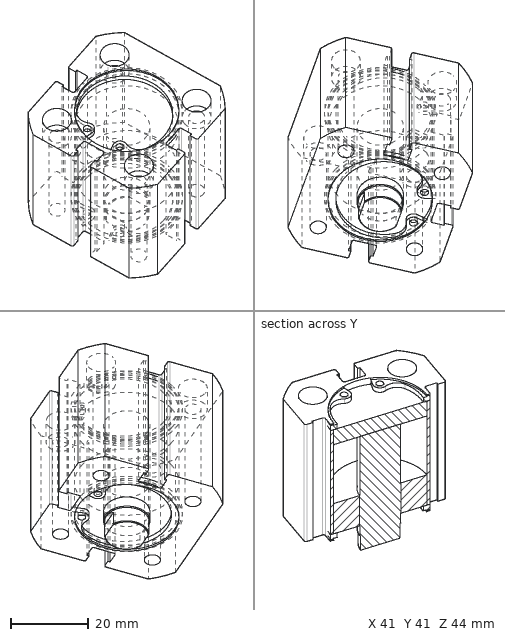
import cadquery as cq
import math


width = 41.0
rod_protrusion = 6.0
height = 44 - rod_protrusion
corner_radius = 25.5
bore_radius = 13.5

slot_depth = 6.0
slot_mouth_width = 5.32
slot_inner_width = 6.6
slot_lip_thickness = 2.38
slot_edge_radius = 0.55
slot_angles = [0, 90, -90]

mount_pitch = 25.95
mount_hole_diameter = 4.2
counterbore_diameter = 7.5
counterbore_depth = 7.05

ring_recess = 0.55
ring_thickness = 1.45
ring_outer_radius = 14.45
ring_inner_radius = 12.5
ring_inner_y = ring_inner_radius - bore_radius
lug_x = 5.2
lug_y = -10.45
lug_radius = 1.9
lug_hole_diameter = 2.02
lug_blend_radius = 3.8
lug_end_angle = math.radians(14)

head_cover_thickness = 5.0
rod_cover_thickness = 10.0
cover_inset = ring_recess + ring_thickness
head_cover_bottom = height - cover_inset - head_cover_thickness

rod_diameter = 12.0
rod_end_diameter = 11.55
rod_shoulder_z = -1.28
rod_shoulder_chamfer = (rod_diameter - rod_end_diameter) / 2
rod_tip_chamfer = 0.2
flat_spacing = 10.05
flat_top_z = -2.05


def toward(start, end, distance):
    """Point at a distance from start, in the direction of end (away from it if negative)."""
    share = distance / math.dist(start, end)
    return (start[0] + share * (end[0] - start[0]), start[1] + share * (end[1] - start[1]))


def mirrored(point):
    return (-point[0], point[1])


def blend_center():
    """Center of the arc that touches the ring's inner circle and the outside of the +X lug."""
    inner = (0, ring_inner_y)
    lug = (lug_x, lug_y)
    to_inner = ring_inner_radius - lug_blend_radius
    to_lug = lug_radius + lug_blend_radius
    span = math.dist(inner, lug)
    along = (span**2 + to_inner**2 - to_lug**2) / (2 * span)
    across = math.sqrt(to_inner**2 - along**2)
    foot = toward(inner, lug, along)
    unit = ((lug[0] - inner[0]) / span, (lug[1] - inner[1]) / span)
    return (foot[0] - across * unit[1], foot[1] + across * unit[0])


def ring_opening():
    """Space inside the ring: the inner circle, both lug outlines and the gap between the ends."""
    inner = (0, ring_inner_y)
    lug = (lug_x, lug_y)
    blend = blend_center()
    circle_end = toward(blend, inner, -lug_blend_radius)
    lug_start = toward(blend, lug, lug_blend_radius)
    blend_middle = toward(
        blend,
        ((circle_end[0] + lug_start[0]) / 2, (circle_end[1] + lug_start[1]) / 2),
        lug_blend_radius,
    )
    lug_end = (
        lug_x - lug_radius * math.cos(lug_end_angle),
        lug_y - lug_radius * math.sin(lug_end_angle),
    )
    lug_middle = (
        lug_x - lug_radius * math.sin(lug_end_angle),
        lug_y + lug_radius * math.cos(lug_end_angle),
    )
    gap_y = -ring_outer_radius
    gap_end = (lug_end[0] + (lug_end[1] - gap_y) * math.tan(lug_end_angle), gap_y)
    return (
        cq.Workplane("XY")
        .moveTo(*gap_end)
        .lineTo(*lug_end)
        .threePointArc(lug_middle, lug_start)
        .threePointArc(blend_middle, circle_end)
        .threePointArc((0, ring_inner_y + ring_inner_radius), mirrored(circle_end))
        .threePointArc(mirrored(blend_middle), mirrored(lug_start))
        .threePointArc(mirrored(lug_middle), mirrored(lug_end))
        .lineTo(*mirrored(gap_end))
        .close()
        .extrude(ring_thickness)
    )


def make_retaining_ring(bottom_z):
    lug_holes = (
        cq.Workplane("XY")
        .pushPoints([(-lug_x, lug_y), (lug_x, lug_y)])
        .circle(lug_hole_diameter / 2)
        .extrude(ring_thickness)
    )
    disk = cq.Workplane("XY").circle(ring_outer_radius).extrude(ring_thickness)
    return disk.cut(ring_opening()).cut(lug_holes).translate((0, 0, bottom_z))


def slot_cutter():
    """T-slot on the -Y face, with rounded floor corners and flared, rounded mouth edges."""
    face_y = -width / 2
    lip_y = face_y + slot_lip_thickness
    floor_y = face_y + slot_depth
    half_mouth = slot_mouth_width / 2
    half_inner = slot_inner_width / 2
    half_flare = half_mouth + slot_edge_radius
    edge_offset = slot_edge_radius * (1 - math.sqrt(0.5))
    mouth_end_y = face_y + slot_edge_radius
    channel = (
        cq.Workplane("XY")
        .moveTo(-half_inner, lip_y)
        .lineTo(half_inner, lip_y)
        .lineTo(half_inner, floor_y)
        .lineTo(-half_inner, floor_y)
        .close()
        .extrude(height)
        .edges("|Z and >Y")
        .fillet(slot_edge_radius)
    )
    mouth = (
        cq.Workplane("XY")
        .moveTo(-half_flare, face_y)
        .lineTo(half_flare, face_y)
        .threePointArc((half_mouth + edge_offset, face_y + edge_offset), (half_mouth, mouth_end_y))
        .lineTo(half_mouth, lip_y)
        .lineTo(-half_mouth, lip_y)
        .lineTo(-half_mouth, mouth_end_y)
        .threePointArc((-half_mouth - edge_offset, face_y + edge_offset), (-half_flare, face_y))
        .close()
        .extrude(height)
    )
    return channel.union(mouth)


def make_housing(rings):
    body = cq.Workplane("XY").rect(width, width).extrude(height)
    body = body.intersect(cq.Workplane("XY").circle(corner_radius).extrude(height))
    for angle in slot_angles:
        body = body.cut(slot_cutter().rotate((0, 0, 0), (0, 0, 1), angle))
    body = (
        body.faces(">Z")
        .workplane(origin=(0, 0, height))
        .rect(mount_pitch, mount_pitch, forConstruction=True)
        .vertices()
        .cboreHole(mount_hole_diameter, counterbore_diameter, counterbore_depth)
    )
    body = body.cut(cq.Workplane("XY").circle(bore_radius).extrude(height))
    for ring in rings:
        body = body.cut(ring)
    return body


def make_head_cover():
    return (
        cq.Workplane("XY", origin=(0, 0, head_cover_bottom))
        .circle(bore_radius)
        .extrude(head_cover_thickness)
    )


def make_rod_cover():
    return (
        cq.Workplane("XY", origin=(0, 0, cover_inset))
        .circle(bore_radius)
        .circle(rod_diameter / 2)
        .extrude(rod_cover_thickness)
    )


def flat_cutter():
    """Material outside the -Y wrench flat, closed at the top by a 45 degree run-out."""
    flat_y = -flat_spacing / 2
    outside_y = -rod_diameter / 2
    return (
        cq.Workplane("YZ")
        .moveTo(flat_y, -rod_protrusion)
        .lineTo(flat_y, flat_top_z)
        .lineTo(outside_y, flat_top_z + flat_y - outside_y)
        .lineTo(outside_y, -rod_protrusion)
        .close()
        .extrude(rod_diameter / 2, both=True)
    )


def make_rod():
    shank = (
        cq.Workplane("XY", origin=(0, 0, rod_shoulder_z))
        .circle(rod_diameter / 2)
        .extrude(head_cover_bottom - rod_shoulder_z)
        .faces("<Z")
        .chamfer(rod_shoulder_chamfer)
    )
    end = (
        cq.Workplane("XY", origin=(0, 0, -rod_protrusion))
        .circle(rod_end_diameter / 2)
        .extrude(rod_protrusion + rod_shoulder_z)
        .faces("<Z")
        .chamfer(rod_tip_chamfer)
    )
    flat = flat_cutter()
    return shank.union(end).cut(flat).cut(flat.mirror("XZ"))


ring_positions = [ring_recess, height - ring_recess - ring_thickness]
retaining_rings = [make_retaining_ring(z) for z in ring_positions]
housing = make_housing(retaining_rings)
head_cover = make_head_cover()
rod_cover = make_rod_cover()
rod = make_rod()

result = cq.Compound.makeCompound(
    [
        housing.val(),
        head_cover.val(),
        rod_cover.val(),
        rod.val(),
        *[ring.val() for ring in retaining_rings],
    ]
)